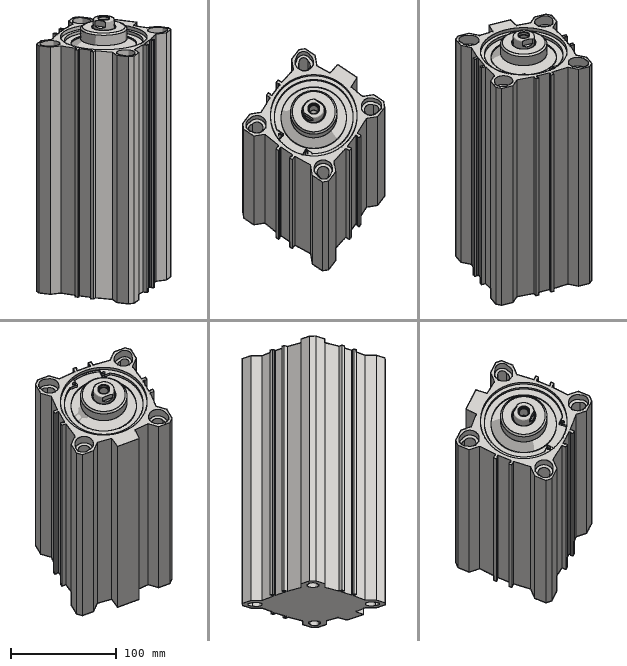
import cadquery as cq
import math

housing_height = 245.5
body_width = 100.0
overall_depth = 105.0
half_width = body_width / 2
pad_bevel = 4.2
pad_inner = 34.0
side_corner = 42.5
side_middle = 44.0
pad_root = pad_inner - (half_width - side_corner)

rib_outer = 9.5
rib_inner = 6.9
lip_inner = 6.3
lip_start = 46.0
rib_reach = 48.3

rail_reach = overall_depth - half_width
rail_tip_half_width = 11.4
rail_root_half_width = 12.5

hole_offset = 38.5
outer_hole_offset = 41.2
hole_diameter = 11.4
outer_hole_diameter = 8.5
counterbore_diameter = 17.5
outer_counterbore_diameter = 13.7
counterbore_depth = 9.8

bore_diameter = 82.0
seat_depth = 26.5
ring_depth = 3.5
ring_thickness = 3.0
ring_outer_diameter = 85.5
ring_inner_diameter = 74.7
ring_gap_inner_half_width = 13.0
ring_gap_outer_half_width = 14.3
ear_half_span = 20.5
ear_edge = 31.0
ear_hole_x = 15.5
ear_hole_y = 33.5
ear_hole_diameter = 3.0

cover_diameter = 81.5
recess_diameter = 62.0
recess_depth = 1.3
boss_diameter = 44.0
boss_height = 10.0
boss_chamfer = 1.72
cone_top_depth = 1.8
wiper_mouth_diameter = 23.0
wiper_diameter = 22.0
wiper_depth = 2.6

rod_diameter = 20.0
rod_top = 264.0
rod_rounding = 1.72
across_flats = 17.2
flat_height = 5.8
rod_mouth_diameter = 11.4
rod_counterbore_diameter = 10.3
rod_counterbore_depth = 3.0
rod_hole_diameter = 8.5
rod_hole_depth = 15.8
drill_tip_angle = 118.0

seat_floor = housing_height - seat_depth
ring_top = housing_height - ring_depth
flange_top = ring_top - ring_thickness
boss_top = housing_height + boss_height

corner_signs = [(sx, sy) for sx in (-1, 1) for sy in (-1, 1)]


def side_outline(turn):
    """Points of one side wall, drawn for -Y and turned about Z by `turn` quarter turns."""
    points = [
        (-half_width + pad_bevel, -half_width),
        (-pad_inner, -half_width),
        (-pad_root, -side_corner),
        (-rib_outer, -side_middle),
        (rib_outer, -side_middle),
        (pad_root, -side_corner),
        (pad_inner, -half_width),
        (half_width - pad_bevel, -half_width),
    ]
    for _ in range(turn):
        points = [(-y, x) for x, y in points]
    return points


def corner_hole(diameter, outer_diameter, depth):
    """Cutter for the four corner holes, reaching down from the housing top."""
    cutter = cq.Workplane("XY").workplane(offset=housing_height - depth)
    inner_centres = [(sx * hole_offset, sy * hole_offset) for sx, sy in corner_signs]
    outer_centres = [(sx * outer_hole_offset, sy * outer_hole_offset) for sx, sy in corner_signs]
    inner = cutter.pushPoints(inner_centres).circle(diameter / 2).extrude(depth)
    outer = cutter.pushPoints(outer_centres).circle(outer_diameter / 2).extrude(depth)
    return inner.union(outer)


def hooked_rib(mirror):
    """One rib of the -Y side; `mirror` is the sign of its X position."""
    points = [
        (rib_inner, -side_corner),
        (rib_outer, -side_corner),
        (rib_outer, -rib_reach),
        (lip_inner, -rib_reach),
        (lip_inner, -lip_start),
        (rib_inner, -lip_start),
    ]
    mirrored = [(mirror * x, y) for x, y in points]
    return cq.Workplane("XY").polyline(mirrored).close().extrude(housing_height)


def make_housing():
    outline = [point for turn in range(4) for point in side_outline(turn)]
    body = cq.Workplane("XY").polyline(outline).close().extrude(housing_height)

    for turn in (-90, 0, 90):
        for mirror in (-1, 1):
            rib = hooked_rib(mirror).rotate((0, 0, 0), (0, 0, 1), turn)
            body = body.union(rib)

    rail = (
        cq.Workplane("XY")
        .polyline([
            (-rail_root_half_width, side_corner),
            (rail_root_half_width, side_corner),
            (rail_tip_half_width, rail_reach),
            (-rail_tip_half_width, rail_reach),
        ])
        .close()
        .extrude(housing_height)
    )
    body = body.union(rail)

    body = body.cut(corner_hole(hole_diameter, outer_hole_diameter, housing_height))
    body = body.cut(corner_hole(counterbore_diameter, outer_counterbore_diameter, counterbore_depth))

    seat = cq.Workplane("XY").workplane(offset=seat_floor).circle(bore_diameter / 2).extrude(seat_depth)
    groove = (
        cq.Workplane("XY").workplane(offset=flange_top)
        .circle(ring_outer_diameter / 2).extrude(ring_thickness)
    )
    return body.cut(seat).cut(groove)


def make_retaining_ring():
    """Open ring in the housing groove, with a drilled ear at each end of its gap."""
    plane = cq.Workplane("XY").workplane(offset=flange_top)
    band = plane.circle(ring_outer_diameter / 2).circle(ring_inner_diameter / 2).extrude(ring_thickness)
    ear_length = ring_inner_diameter / 2 - ear_edge
    ears = (
        plane.center(0, -ear_edge - ear_length / 2)
        .rect(2 * ear_half_span, ear_length).extrude(ring_thickness)
    )
    disc = plane.circle(ring_outer_diameter / 2).extrude(ring_thickness)
    gap = (
        plane.polyline([
            (-ring_gap_inner_half_width, -ear_edge),
            (ring_gap_inner_half_width, -ear_edge),
            (ring_gap_outer_half_width, -ring_outer_diameter / 2),
            (-ring_gap_outer_half_width, -ring_outer_diameter / 2),
        ])
        .close().extrude(ring_thickness)
    )
    holes = (
        plane.pushPoints([(-ear_hole_x, -ear_hole_y), (ear_hole_x, -ear_hole_y)])
        .circle(ear_hole_diameter / 2).extrude(ring_thickness)
    )
    return band.union(ears.intersect(disc)).cut(gap).cut(holes)


def make_cover():
    """Flanged cover with a cone rising from a recess to the pilot boss around the rod."""
    mouth_chamfer = (wiper_mouth_diameter - wiper_diameter) / 2
    profile = [
        (rod_diameter / 2, seat_floor),
        (cover_diameter / 2, seat_floor),
        (cover_diameter / 2, flange_top),
        (recess_diameter / 2, flange_top),
        (recess_diameter / 2, flange_top - recess_depth),
        (boss_diameter / 2, housing_height - cone_top_depth),
        (boss_diameter / 2, boss_top - boss_chamfer),
        (boss_diameter / 2 - boss_chamfer, boss_top),
        (wiper_mouth_diameter / 2, boss_top),
        (wiper_diameter / 2, boss_top - mouth_chamfer),
        (wiper_diameter / 2, boss_top - wiper_depth),
        (rod_diameter / 2, boss_top - wiper_depth),
    ]
    return cq.Workplane("XZ").polyline(profile).close().revolve(360, (0, 0, 0), (0, 1, 0))


def make_rod():
    """Rod with a stepped, drilled end hole and two wrench flats."""
    radius = rod_diameter / 2
    mouth_chamfer = (rod_mouth_diameter - rod_counterbore_diameter) / 2
    hole_radius = rod_hole_diameter / 2
    hole_floor = rod_top - rod_hole_depth
    tip_height = hole_radius / math.tan(math.radians(drill_tip_angle / 2))
    profile = [
        (0, seat_floor),
        (radius, seat_floor),
        (radius, rod_top),
        (rod_mouth_diameter / 2, rod_top),
        (rod_counterbore_diameter / 2, rod_top - mouth_chamfer),
        (rod_counterbore_diameter / 2, rod_top - rod_counterbore_depth),
        (hole_radius, rod_top - rod_counterbore_depth),
        (hole_radius, hole_floor),
        (0, hole_floor - tip_height),
    ]
    rod = cq.Workplane("XZ").polyline(profile).close().revolve(360, (0, 0, 0), (0, 1, 0))
    rod = rod.faces(">Z").edges(cq.selectors.RadiusNthSelector(-1)).fillet(rod_rounding)

    flat_half_distance = across_flats / 2
    ramp = radius - flat_half_distance
    flat_floor = rod_top - flat_height
    for side in (-1, 1):
        flat = (
            cq.Workplane("YZ")
            .polyline([
                (side * flat_half_distance, rod_top),
                (side * flat_half_distance, flat_floor),
                (side * radius, flat_floor - ramp),
                (side * radius, rod_top),
            ])
            .close()
            .extrude(radius, both=True)
        )
        rod = rod.cut(flat)
    return rod


housing = make_housing()
retaining_ring = make_retaining_ring()
cover = make_cover()
rod = make_rod()

result = cq.Compound.makeCompound([housing.val(), retaining_ring.val(), cover.val(), rod.val()])